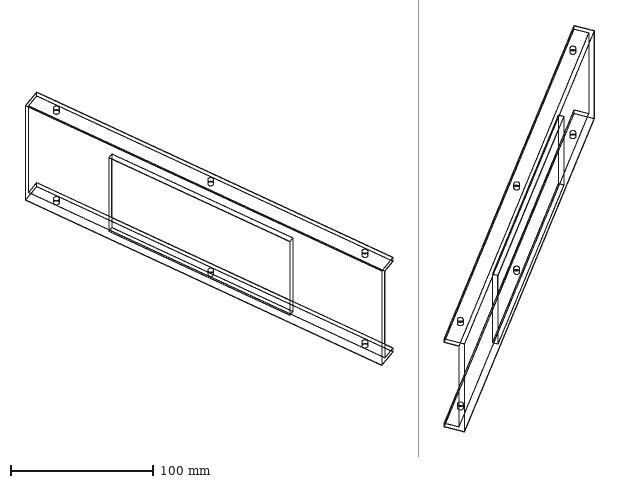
import cadquery as cq

length = 295.0
depth = 15.0
height = 100.0
plate_thickness = 4.0
flange_thickness = 4.0

window_width = 150.0
window_height = 78.0
window_left = 69.0
window_bottom = 8.0

hole_diameter = 4.0
hole_spacing = 127.7
hole_from_back = 5.5
hole_count = 3


def corner_box(size_x, size_y, size_z, corner):
    """Box whose lowest corner sits at the given point."""
    return cq.Workplane("XY").box(size_x, size_y, size_z, centered=False).translate(corner)


channel = corner_box(length, depth, height, (-length / 2, 0, 0))
recess = corner_box(
    length,
    depth - plate_thickness,
    height - 2 * flange_thickness,
    (-length / 2, plate_thickness, flange_thickness),
)

window = corner_box(
    window_width,
    plate_thickness,
    window_height,
    (window_left - length / 2, 0, window_bottom),
)

flange_holes = (
    cq.Workplane("XY")
    .center(0, depth - hole_from_back)
    .rarray(hole_spacing, 3, hole_count, 1)
    .circle(hole_diameter / 2)
    .extrude(height)
)

result = channel.cut(recess).cut(window).cut(flange_holes)